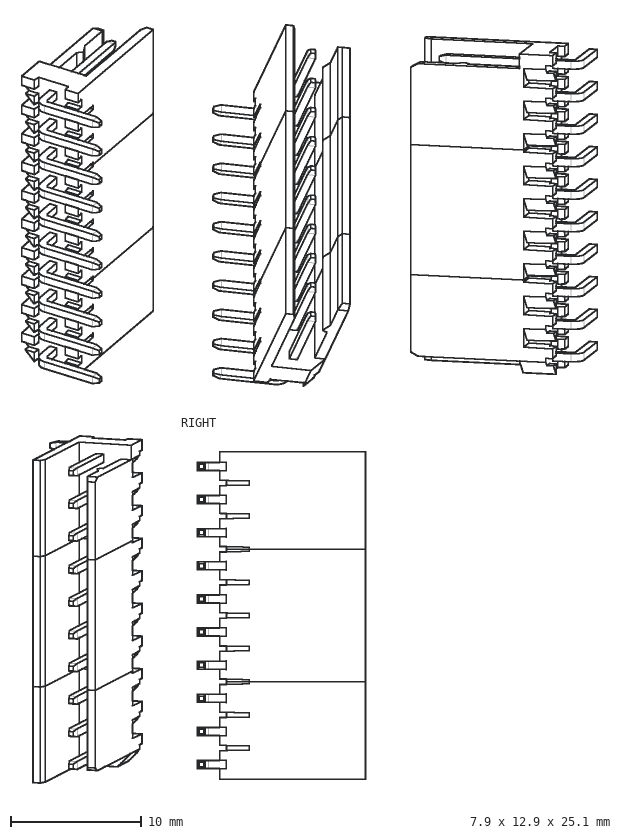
import cadquery as cq


overall_width = 7.9
overall_depth = 12.9
housing_height = 25.12
housing_width = 5.05
housing_depth = 11.2
half_width = housing_width / 2
half_height = housing_height / 2

pin_count = 10
end_margin = 1.13
pin_pitch = (housing_height - 2 * end_margin) / (pin_count - 1)
first_pin_z = half_height - end_margin
pin_heights = [first_pin_z - i * pin_pitch for i in range(pin_count)]
gap_heights = [z - pin_pitch / 2 for z in pin_heights[:-1]]
end_section_pins = 3

foot_height = 0.53
foot_width = 1.13
foot_draft = 0.08
base_top = 2.6
wall_thickness = 0.83
lead_in_width = 0.23
lead_in_depth = 0.58

ridge_height = 0.4
ridge_bottom = 6.83
ridge_peak = 7.13
ridge_top = 8.05

wall_end_inset = 1.13
wall_corner_height = 0.3

slot_height = 0.33
cutout_draft = 0.038
slot_length = 1.7
cutout_top = 2.29
pocket_leg = (pin_pitch - slot_height) / 2

pin_width = 0.63
pin_half = pin_width / 2
bend_radius = 0.83
pin_top = 9.52
leg_outer_y = housing_depth - overall_depth
leg_end_x = overall_width - half_width
tip_length = 0.53
tip_width = 0.35


def block(x_min, x_max, y_min, y_max, z_min, z_max):
    """Box given by its limits along each axis."""
    size = (x_max - x_min, y_max - y_min, z_max - z_min)
    return cq.Workplane("XY").box(*size, centered=False).translate((x_min, y_min, z_min))


def housing_profile(z_bottom, z_top):
    """U-shaped channel with two feet and a latch ridge, extruded along Z."""
    left_inner = -half_width + wall_thickness
    right_inner = half_width - wall_thickness
    foot_tip = half_width - foot_width
    foot_root = foot_tip - foot_draft
    return (
        cq.Workplane("XY", origin=(0, 0, z_bottom))
        .moveTo(-half_width, 0)
        .lineTo(-foot_tip, 0)
        .lineTo(-foot_root, foot_height)
        .lineTo(foot_root, foot_height)
        .lineTo(foot_tip, 0)
        .lineTo(half_width, 0)
        .lineTo(half_width, housing_depth)
        .lineTo(right_inner + lead_in_width, housing_depth)
        .lineTo(right_inner, housing_depth - lead_in_depth)
        .lineTo(right_inner, base_top)
        .lineTo(left_inner, base_top)
        .lineTo(left_inner, ridge_bottom)
        .lineTo(left_inner + ridge_height, ridge_peak)
        .lineTo(left_inner, ridge_top)
        .lineTo(left_inner, housing_depth - lead_in_depth)
        .lineTo(left_inner - lead_in_width, housing_depth)
        .lineTo(-half_width, housing_depth)
        .close()
        .extrude(z_top - z_bottom)
    )


def wall_end_cut():
    """Space above the upper end of the left wall, including its cut corner."""
    wall_end = half_height - wall_end_inset
    return (
        cq.Workplane("YZ", origin=(-half_width, 0, 0))
        .moveTo(base_top, half_height)
        .lineTo(base_top, wall_end)
        .lineTo(housing_depth - lead_in_depth, wall_end)
        .lineTo(housing_depth, wall_end - wall_corner_height)
        .lineTo(housing_depth, half_height)
        .close()
        .extrude(wall_thickness + ridge_height)
    )


def wedge_outline(y, z_top, leg):
    """Right triangle on the left side at depth y, whose sloping edge falls at 45 degrees from z_top."""
    return (
        cq.Workplane("XZ", origin=(0, y, 0))
        .moveTo(-half_width, z_top)
        .lineTo(-half_width + leg, z_top - leg)
        .lineTo(-half_width, z_top - leg)
        .close()
    )


def lower_corner_cut():
    """45 degree corner taken off the lower left edge of the base."""
    return wedge_outline(0, pin_heights[-1], end_margin).extrude(-base_top)


def side_pocket(pin_z):
    """Drafted 45 degree pocket in the left side, from the pin's height down to the next slot."""
    opening = wedge_outline(0, pin_z + cutout_draft, pocket_leg).wires().val()
    floor = wedge_outline(cutout_top, pin_z, pocket_leg).wires().val()
    return cq.Workplane(cq.Solid.makeLoft([opening, floor], True))


def foot_notch(pin_z):
    """Notch through both feet, as high as the pin that lies in it."""
    return block(-half_width, half_width, 0, foot_height, pin_z - pin_half, pin_z + pin_half)


def side_slots(gap_z):
    """Pair of drafted slots midway between two pins, one from each side of the base."""
    slot_center_x = half_width - slot_length / 2
    left = (
        cq.Workplane("XZ", origin=(-slot_center_x, 0, gap_z))
        .rect(slot_length, slot_height + 2 * cutout_draft)
        .workplane(offset=-cutout_top)
        .rect(slot_length, slot_height)
        .loft(ruled=True)
    )
    return left.union(left.mirror("YZ"))


def bent_pin(pin_z):
    """Square pin with a rounded right-angle bend and a tapered tip at each end."""
    leg_inner_y = leg_outer_y + pin_width
    shank_top = pin_top - tip_length
    leg_end = leg_end_x - tip_length
    inner_radius = bend_radius - pin_width
    shank = (
        cq.Workplane("XY", origin=(0, 0, pin_z - pin_half))
        .moveTo(-pin_half, shank_top)
        .lineTo(-pin_half, leg_outer_y + bend_radius)
        .radiusArc((-pin_half + bend_radius, leg_outer_y), -bend_radius)
        .lineTo(leg_end, leg_outer_y)
        .lineTo(leg_end, leg_inner_y)
        .lineTo(pin_half + inner_radius, leg_inner_y)
        .radiusArc((pin_half, leg_inner_y + inner_radius), inner_radius)
        .lineTo(pin_half, shank_top)
        .close()
        .extrude(pin_width)
    )
    top_tip = tapered_tip(cq.Plane((0, shank_top, pin_z), (1, 0, 0), (0, 1, 0)))
    leg_middle_y = leg_outer_y + pin_half
    leg_tip = tapered_tip(cq.Plane((leg_end, leg_middle_y, pin_z), (0, 1, 0), (1, 0, 0)))
    return shank.union(top_tip).union(leg_tip)


def tapered_tip(base_plane):
    """Four-sided tip that narrows from the pin width to the tip width."""
    return (
        cq.Workplane(base_plane)
        .rect(pin_width, pin_width)
        .workplane(offset=tip_length)
        .rect(tip_width, tip_width)
        .loft(ruled=True)
    )


def header_section(z_bottom, z_top):
    """One section of the header: its length of housing with its moulded-in pins."""
    section_pins = [z for z in pin_heights if z_bottom < z < z_top]
    section = housing_profile(z_bottom, z_top)
    upper_cut = wall_end_cut()
    section = section.cut(upper_cut).cut(upper_cut.mirror("XY"))
    for gap_z in gap_heights:
        section = section.cut(side_slots(gap_z))
    for pin_z in section_pins:
        section = section.cut(foot_notch(pin_z))
        if pin_z == pin_heights[-1]:
            section = section.cut(lower_corner_cut())
        else:
            section = section.cut(side_pocket(pin_z))
    for pin_z in section_pins:
        section = section.union(bent_pin(pin_z))
    return section


joint_z = gap_heights[end_section_pins - 1]
top_section = header_section(joint_z, half_height)
middle_section = header_section(-joint_z, joint_z)
bottom_section = header_section(-half_height, -joint_z)

result = cq.Compound.makeCompound([top_section.val(), middle_section.val(), bottom_section.val()])